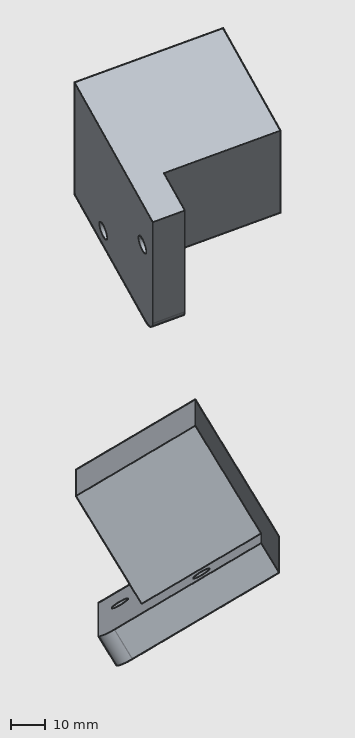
import cadquery as cq

plate_side = 54.8
plate_thickness = 10.15
corner_radius = 5.5

total_depth = 47.0
block_side = 40.15

hole_diameter = 5.5
flange_width = plate_side - block_side
flange_middle = flange_width / 2
block_middle = block_side / 2
hole_centers = [
    (plate_side - flange_middle, plate_side - block_middle),
    (block_middle, flange_middle),
]

plate = cq.Workplane("XY").box(plate_side, plate_thickness, plate_side, centered=False)
plate = plate.edges("|Y and >X and <Z").fillet(corner_radius)

block = (
    cq.Workplane("XY")
    .box(block_side, total_depth, block_side, centered=False)
    .translate((0, 0, flange_width))
)

holes = (
    cq.Workplane("XZ")
    .pushPoints(hole_centers)
    .circle(hole_diameter / 2)
    .extrude(-plate_thickness)
)

result = plate.union(block).cut(holes)